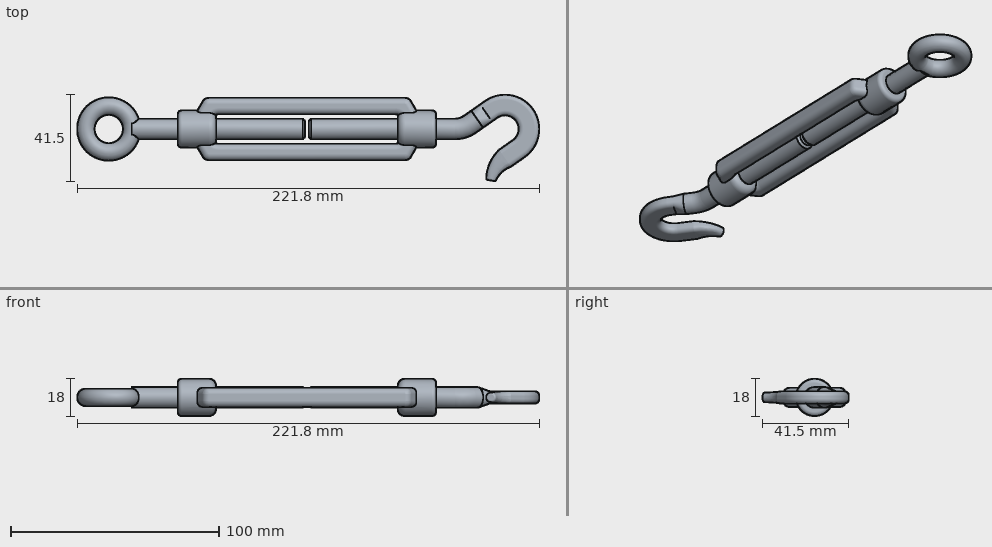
import cadquery as cq
import math


rod_diameter = 10.0
rod_gap = 1.6
rod_chamfer = 1.2

hub_diameter = 18.0
hub_outer_x = 62.0
hub_inner_x = 43.5
hub_outer_fillet = 2.0
hub_inner_fillet = 3.5

bar_inner_y = 7.0
bar_outer_y = 15.0
bar_height = 9.3
bar_fillet = 3.0
bar_bend_x = 49.0
bar_bend_angle = 60.0
bar_bend_radius = 3.3
bar_root_y = 2.0

eye_x = -95.0
eye_wire_diameter = 8.5
eye_mean_radius = 11.0

hook_x = 95.0
hook_angle = 35.0
hook_mean_radius = 11.5
hook_width = 10.0
hook_thickness = 6.0
hook_fillet = 2.3
hook_bend_start_x = 71.0
hook_taper_length = 5.2
hook_taper_flat = 0.4
hook_flat_lead = 3.0
hook_straight_length = 8.0
hook_tip_x = 88.2
hook_tip_y = -24.75
hook_tip_diameter = 4.6
hook_tip_fillet = 1.0
hook_section = cq.Sketch().rect(hook_width, hook_thickness).vertices().fillet(hook_fillet)


def x_cylinder(diameter, x_start, x_end):
    """Cylinder on the X axis between two positions."""
    plane = cq.Workplane("YZ", origin=(x_start, 0, 0))
    return plane.circle(diameter / 2).extrude(x_end - x_start)


def make_hub():
    hub = x_cylinder(hub_diameter, hub_inner_x, hub_outer_x)
    hub = hub.faces(">X").edges().fillet(hub_outer_fillet)
    return hub.faces("<X").edges().fillet(hub_inner_fillet)


def make_bar():
    """Bar on the +Y side, with both ends turned in toward the hubs."""
    slope = math.tan(math.radians(bar_bend_angle))
    bar_width = bar_outer_y - bar_inner_y
    inner_bend_x = bar_bend_x - bar_width * math.tan(math.radians(bar_bend_angle / 2))
    outer_root_x = bar_bend_x + (bar_outer_y - bar_root_y) / slope
    inner_root_x = inner_bend_x + (bar_inner_y - bar_root_y) / slope
    half_outline = [
        (bar_bend_x, bar_outer_y),
        (outer_root_x, bar_root_y),
        (inner_root_x, bar_root_y),
        (inner_bend_x, bar_inner_y),
    ]
    mirrored_outline = [(-x, y) for x, y in reversed(half_outline)]
    bar = cq.Workplane("XY").polyline(half_outline + mirrored_outline).close()
    bar = bar.extrude(bar_height / 2, both=True)
    not_root = "not <Y"
    bar = bar.edges("|Z").edges(not_root).fillet(bar_bend_radius)
    return bar.faces("|Z").edges(not_root).fillet(bar_fillet)


def make_eye_bolt():
    rod = x_cylinder(rod_diameter, eye_x + eye_mean_radius, -rod_gap / 2)
    rod = rod.faces(">X").edges().chamfer(rod_chamfer)
    eye = cq.Solid.makeTorus(eye_mean_radius, eye_wire_diameter / 2, cq.Vector(eye_x, 0, 0))
    return rod.union(cq.Workplane(eye))


def section_plane(point, angle):
    """Plane square to a direction in XY: local x lies across the hook, local y along Z."""
    direction = (math.cos(math.radians(angle)), math.sin(math.radians(angle)), 0)
    across = (-direction[1], direction[0], 0)
    return cq.Plane(origin=(point[0], point[1], 0), xDir=across, normal=direction)


def point_along_shank(point, distance):
    """Point at a distance from another one, measured in the direction of the hook shank."""
    angle = math.radians(hook_angle)
    return (point[0] + distance * math.cos(angle), point[1] + distance * math.sin(angle))


def make_hook_shank(curve_start, flat_start):
    """Rod, the bend off the rod axis, and the round shank flattening toward the hook."""
    rod = x_cylinder(rod_diameter, rod_gap / 2, hook_bend_start_x)
    rod = rod.faces("<X").edges().chamfer(rod_chamfer)

    axis_crossing_x = curve_start[0] - curve_start[1] / math.tan(math.radians(hook_angle))
    bend_tangent = axis_crossing_x - hook_bend_start_x
    bend_radius = bend_tangent / math.tan(math.radians(hook_angle / 2))
    bend_end = point_along_shank((axis_crossing_x, 0), bend_tangent)
    bend = cq.Workplane("YZ", origin=(hook_bend_start_x, 0, 0)).circle(rod_diameter / 2)
    bend = bend.revolve(hook_angle, (bend_radius, -1, 0), (bend_radius, 1, 0))

    taper_start = point_along_shank(flat_start, -hook_taper_length)
    shank = cq.Workplane(section_plane(bend_end, hook_angle)).circle(rod_diameter / 2)
    shank = shank.extrude(math.dist(bend_end, taper_start))

    round_section = cq.Sketch().rect(rod_diameter, rod_diameter).vertices()
    round_section = round_section.fillet((rod_diameter - hook_taper_flat) / 2)
    flat_section = hook_section.moved(cq.Location(cq.Vector(0, 0, hook_taper_length)))
    taper = cq.Workplane(section_plane(taper_start, hook_angle))
    taper = taper.placeSketch(round_section, flat_section).loft(ruled=True)
    return rod.union(bend).union(shank).union(taper)


def make_hook_tip(tip_start):
    """Arc tangent to the hook's straight end, its section shrinking to a small circle."""
    tip_end = (hook_tip_x, hook_tip_y)
    start_angle = hook_angle - 180
    chord_angle = math.degrees(math.atan2(tip_end[1] - tip_start[1], tip_end[0] - tip_start[0]))
    end_angle = 2 * chord_angle - start_angle
    start_plane = section_plane(tip_start, start_angle)
    end_plane = section_plane(tip_end, end_angle)

    path = cq.Edge.makeTangentArc(cq.Vector(*tip_start), start_plane.zDir, cq.Vector(*tip_end))
    end_section = cq.Sketch().circle(hook_tip_diameter / 2)
    end_section = end_section.moved(start_plane.location.inverse * end_plane.location)
    tip = cq.Workplane(start_plane).placeSketch(hook_section, end_section)
    tip = tip.sweep(cq.Workplane(path), multisection=True)
    end_face = cq.selectors.NearestToPointSelector((tip_end[0], tip_end[1], 0))
    return tip.faces(end_face).edges().fillet(hook_tip_fillet)


def make_hook_bolt():
    start_x_offset = hook_mean_radius * math.sin(math.radians(hook_angle))
    start_y_offset = hook_mean_radius * math.cos(math.radians(hook_angle))
    curve_start = (hook_x - start_x_offset, start_y_offset)
    curve_mid = point_along_shank((hook_x, 0), hook_mean_radius)
    curve_end = (hook_x + start_x_offset, -start_y_offset)
    flat_start = point_along_shank(curve_start, -hook_flat_lead)
    tip_start = point_along_shank(curve_end, -hook_straight_length)

    path = cq.Workplane("XY").moveTo(*flat_start).lineTo(*curve_start)
    path = path.threePointArc(curve_mid, curve_end).lineTo(*tip_start)
    hook = cq.Workplane(section_plane(flat_start, hook_angle))
    hook = hook.placeSketch(hook_section).sweep(path)

    shank = make_hook_shank(curve_start, flat_start)
    return shank.union(hook).union(make_hook_tip(tip_start))


hub = make_hub()
bar = make_bar()
result = make_eye_bolt().union(make_hook_bolt())
result = result.union(hub).union(hub.mirror("YZ"))
result = result.union(bar).union(bar.mirror("XZ"))